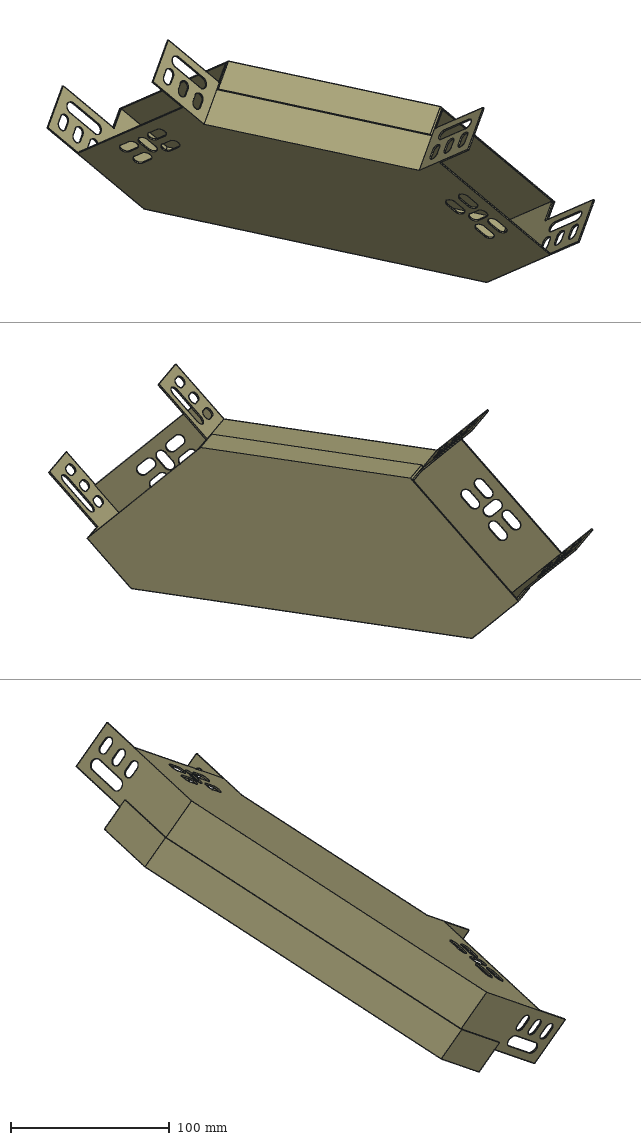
import cadquery as cq
import math

leg_angle = 45.0
sheet = 1.0
tray_width = 101.0
duct_depth = 51.7
bottom_run = 224.8
inner_leg = 18.5
tab_height = 34.5
tab_reach = 27.5
flange_height = 23.0
leg_overrun = 140.0

floor_slot_length = 14.7
floor_slot_width = 7.5
floor_slot_spacing = 26.5
first_row_inset = 11.2
row_pitch = 12.2
middle_slot_shift = 1.7

short_slot_length = 12.0
short_slot_width = 6.5
short_slot_height = 11.5
short_slot_pitch = 13.3
first_slot_inset = 9.5
long_slot_length = 30.5
long_slot_width = 8.0
long_slot_height = 25.0

tilt_x = -0.7
tilt_y = -1.6
tilt_z = 1.2

cos_leg = math.cos(math.radians(leg_angle))
sin_leg = math.sin(math.radians(leg_angle))
miter = math.tan(math.radians(leg_angle / 2))
outer_leg = inner_leg + tray_width * miter
floor_end = bottom_run / 2 * cos_leg + outer_leg
tab_tip = floor_end + tab_reach
lid_end = floor_end - inner_leg
lid_inside = duct_depth - sheet


def prism(points, start, end):
    """Extrude an outline in the XZ plane between two depths along +Y."""
    return cq.Workplane("XZ", origin=(0, start, 0)).polyline(points).close().extrude(start - end)


def band(offset, end, y_start, y_stop):
    """Bent strip, grown sideways by an offset and cut square across both legs at the end planes."""
    low_x = bottom_run / 2 + offset * miter
    low_z = -offset
    high_x = bottom_run / 2 - (tray_width + offset) * miter
    high_z = tray_width + offset
    run_x = leg_overrun * cos_leg
    run_z = leg_overrun * sin_leg
    right_side = [
        (low_x, low_z), (low_x + run_x, low_z + run_z),
        (high_x + run_x, high_z + run_z), (high_x, high_z),
    ]
    left_side = [(-x, z) for x, z in reversed(right_side)]
    apex = end / sin_leg
    foot_x = (apex + tray_width) * sin_leg / cos_leg
    end_planes = [(0, apex), (foot_x, -tray_width), (-foot_x, -tray_width)]
    return prism(right_side + left_side, y_start, y_stop).intersect(prism(end_planes, y_start, y_stop))


def walls(outer_offset, end, y_start, y_stop):
    """Pair of sheet walls along both sides of the strip, open at the ends."""
    outside = band(outer_offset, end, y_start, y_stop)
    return outside.cut(band(outer_offset - sheet, end + tray_width, y_start, y_stop))


def leg_plane(side, axial, y):
    """Plane on a leg's centre line: local x runs along the leg, local z along world Y."""
    across = tray_width / 2 - bottom_run / 2 * sin_leg
    centre = (side * (axial * cos_leg - across * sin_leg), y, axial * sin_leg + across * cos_leg)
    return cq.Plane(origin=centre, xDir=(side * cos_leg, 0, sin_leg), normal=(0, 1, 0))


def floor_slots(side):
    """Two rows of crosswise slots with one lengthwise slot in the middle."""
    pattern = cq.Workplane(leg_plane(side, floor_end - first_row_inset - row_pitch / 2, -sheet))
    rows = pattern.rarray(row_pitch, floor_slot_spacing, 2, 2).slot2D(
        floor_slot_length, floor_slot_width, 90).extrude(3 * sheet)
    return rows.union(pattern.center(middle_slot_shift, 0).slot2D(
        floor_slot_length, floor_slot_width).extrude(3 * sheet))


def tab_slots(side):
    """Three short slots and one long slot, cut through the upper and lower tabs of a leg."""
    middle_slot = tab_tip - first_slot_inset - short_slot_pitch
    base = leg_plane(side, middle_slot, 0)
    across_leg = cq.Plane(origin=base.origin, xDir=base.xDir, normal=(-side * sin_leg, 0, cos_leg))
    outward_y = across_leg.yDir.y
    drill = cq.Workplane(across_leg)
    short = drill.center(0, outward_y * short_slot_height).rarray(short_slot_pitch, 3.5, 3, 1).slot2D(
        short_slot_length, short_slot_width, 90).extrude(tray_width, both=True)
    long = drill.center(0, outward_y * long_slot_height).slot2D(
        long_slot_length, long_slot_width).extrude(tray_width, both=True)
    return short.union(long)


def tilted(body):
    """Turn a body from its square position into the tilted one."""
    origin = (0, 0, 0)
    return (body.rotate(origin, (1, 0, 0), tilt_x)
            .rotate(origin, (0, 1, 0), tilt_y)
            .rotate(origin, (0, 0, 1), tilt_z))


def make_tray():
    """Floor, full-depth side walls and lower tabs that reach past the floor."""
    tray = band(0, floor_end, 0, sheet)
    tray = tray.union(walls(0, tab_tip, 0, tab_height))
    tray = tray.union(walls(0, lid_end, 0, lid_inside))
    for side in (-1, 1):
        tray = tray.cut(floor_slots(side)).cut(tab_slots(side))
    return tilted(tray)


def make_lid():
    """Flat cover with flanges that lie outside the tray walls."""
    cover = band(sheet, lid_end, lid_inside, duct_depth)
    flanges = walls(sheet, lid_end, duct_depth - flange_height, duct_depth)
    return tilted(cover.union(flanges))


tray = make_tray()
lid = make_lid()
result = cq.Compound.makeCompound([tray.val(), lid.val()])